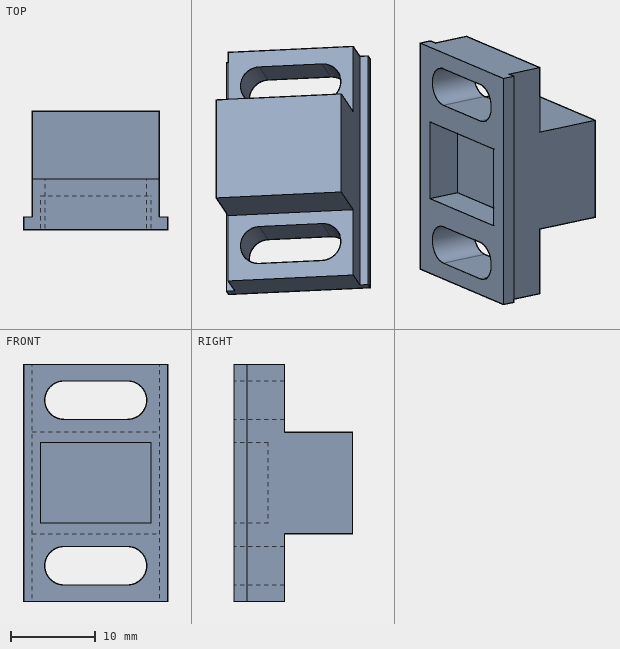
import cadquery as cq

flange_width = 17.0
height = 28.0
flange_thickness = 1.5

body_width = 15.0
body_back = 6.0
boss_height = 12.0
overall_depth = 14.0

slot_length = 12.0
slot_height = 4.5
slot_offset = 9.77

pocket_width = 13.0
pocket_height = 9.5
pocket_depth = 4.0


def block(width, depth, tall):
    """Box centred in X and Z, running back from the front face at Y = 0."""
    return cq.Workplane("XY").box(width, depth, tall, centered=(True, False, True))


def slot_cutters():
    """Round-ended slots that pass through the flange and body."""
    return (
        cq.Workplane("XZ")
        .pushPoints([(0, slot_offset), (0, -slot_offset)])
        .slot2D(slot_length, slot_height)
        .extrude(-body_back)
    )


flange = block(flange_width, flange_thickness, height)
body = block(body_width, body_back, height)
boss = block(body_width, overall_depth, boss_height)
pocket = block(pocket_width, pocket_depth, pocket_height)

result = flange.union(body).union(boss).cut(slot_cutters()).cut(pocket)